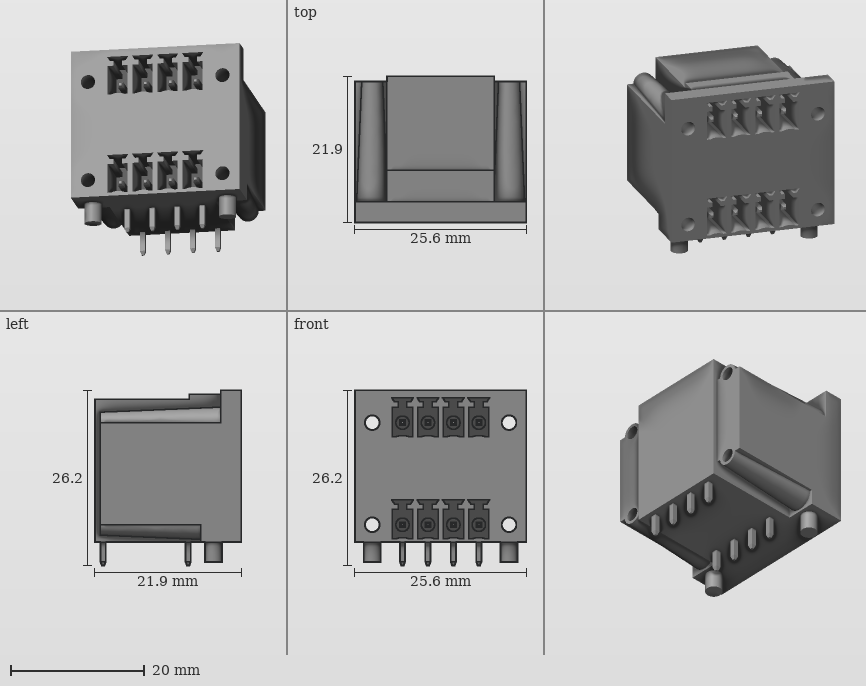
import cadquery as cq

width = 25.65
depth = 21.9
height = 22.7
overall_height = 26.2
plate_thickness = 3.12

block_width = 16.09
block_height = 21.35
step_height = 22.1
step_depth = 7.8

side_depth = 21.12
foot_depth = 6.08

lower_row_height = 2.6
row_pitch = 15.25
row_heights = [lower_row_height, lower_row_height + row_pitch]
contact_count = 4
contact_pitch = 3.8
contact_places = [(i - (contact_count - 1) / 2) * contact_pitch for i in range(contact_count)]

hole_offset = 10.22
hole_diameter = 2.15
sleeve_front_diameter = 4.66
sleeve_back_diameter = 3.15

socket_depth = 7.34
socket_width = 3.05
socket_bottom = -2.12
socket_shoulder = 2.33
neck_width = 1.34
neck_top = 3.1
flare_bottom_width = 2.38
flare_top_width = 3.25
flare_top = 3.75
ridge_width = 2.05
ridge_height = 0.2

collar_diameter = 2.0
collar_length = 0.25
pin_width = 0.8
pin_tip_width = 0.37
pin_taper = 0.6
contact_tip_setback = 2.1

pin_length = overall_height - height
front_pin_place = 7.96
pin_row_spacing = 12.7
post_diameter = 2.6
post_length = 2.99
post_place = 4.17


def box(size_x, y_start, y_end, z_start, z_end):
    """Box centred on X between the given Y and Z limits."""
    corner = cq.Workplane("XY", origin=(0, y_start, z_start))
    return corner.box(size_x, y_end - y_start, z_end - z_start, centered=(True, False, False))


def facing_back(x, y, z):
    """Workplane at a point, with its normal along +Y and its local Y along +Z."""
    return cq.Workplane(cq.Plane(origin=(x, y, z), xDir=(-1, 0, 0), normal=(0, 1, 0)))


def housing():
    """Front plate, stepped central block, side walls and feet."""
    lower_row, upper_row = row_heights
    return (
        box(width, 0, plate_thickness, 0, height)
        .union(box(block_width, 0, depth, 0, block_height))
        .union(box(block_width, 0, step_depth, 0, step_height))
        .union(box(width, 0, side_depth, lower_row, upper_row))
        .union(box(width, 0, foot_depth, 0, upper_row))
    )


def sleeve(x, z):
    """Tapered sleeve from the plate to the back of the side walls."""
    cone = cq.Solid.makeCone(
        sleeve_front_diameter / 2,
        sleeve_back_diameter / 2,
        side_depth - plate_thickness,
        pnt=cq.Vector(x, plate_thickness, z),
        dir=cq.Vector(0, 1, 0),
    )
    return cq.Workplane(cone)


def mounting_hole(x, z):
    return facing_back(x, 0, z).circle(hole_diameter / 2).extrude(side_depth)


def socket(x, z):
    """Keyed pocket with a flared slot on top and a low rounded ridge on its floor."""
    return (
        facing_back(x, 0, z)
        .moveTo(-flare_top_width / 2, flare_top)
        .lineTo(flare_top_width / 2, flare_top)
        .lineTo(flare_bottom_width / 2, neck_top)
        .lineTo(neck_width / 2, neck_top)
        .lineTo(neck_width / 2, socket_shoulder)
        .lineTo(socket_width / 2, socket_shoulder)
        .lineTo(socket_width / 2, socket_bottom)
        .lineTo(ridge_width / 2, socket_bottom)
        .threePointArc((0, socket_bottom + ridge_height), (-ridge_width / 2, socket_bottom))
        .lineTo(-socket_width / 2, socket_bottom)
        .lineTo(-socket_width / 2, socket_shoulder)
        .lineTo(-neck_width / 2, socket_shoulder)
        .lineTo(-neck_width / 2, neck_top)
        .lineTo(-flare_bottom_width / 2, neck_top)
        .close()
        .extrude(socket_depth)
    )


def pointed_pin(base, length):
    """Square pin with a tapered tip, standing on the base workplane."""
    shank = length - pin_taper
    return (
        base.rect(pin_width, pin_width)
        .extrude(shank)
        .union(
            base.workplane(offset=shank)
            .rect(pin_width, pin_width)
            .workplane(offset=pin_taper)
            .rect(pin_tip_width, pin_tip_width)
            .loft(ruled=True)
        )
    )


def contact(x, z):
    """Contact pin and its collar on the socket floor, pointing to the mating face."""
    base = cq.Workplane("XZ", origin=(x, socket_depth, z))
    collar = base.circle(collar_diameter / 2).extrude(collar_length)
    return collar.union(pointed_pin(base, socket_depth - contact_tip_setback))


def facing_down(x, y):
    """Workplane on the housing underside, with its normal along -Z."""
    return cq.Workplane(cq.Plane(origin=(x, y, 0), xDir=(1, 0, 0), normal=(0, 0, -1)))


result = housing()

for hole_x in (-hole_offset, hole_offset):
    for row_z in row_heights:
        result = result.union(sleeve(hole_x, row_z)).cut(mounting_hole(hole_x, row_z))
    post = facing_down(hole_x, post_place).circle(post_diameter / 2).extrude(post_length)
    result = result.union(post)

for contact_x in contact_places:
    for row_z in row_heights:
        result = result.cut(socket(contact_x, row_z)).union(contact(contact_x, row_z))
    for pin_y in (front_pin_place, front_pin_place + pin_row_spacing):
        result = result.union(pointed_pin(facing_down(contact_x, pin_y), pin_length))